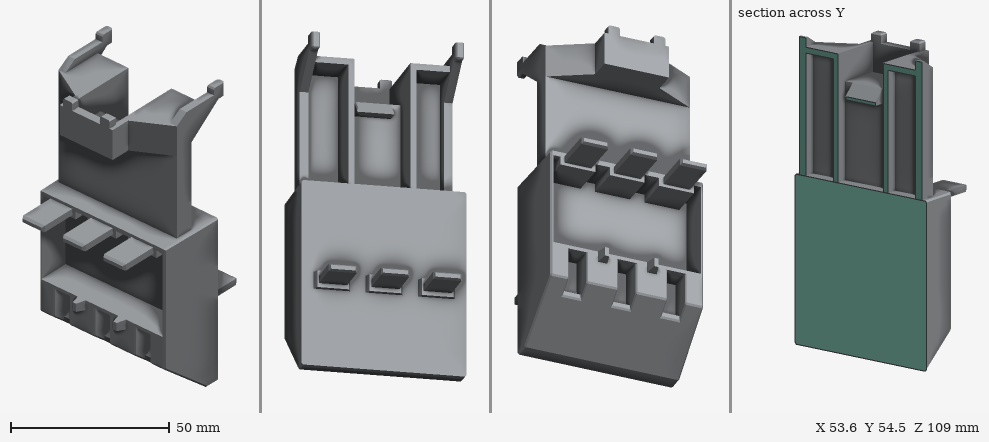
import cadquery as cq

TOTAL_HEIGHT = 109

HOUSING_HEIGHT = 61.3
HOUSING_DEPTH = 25.1
BACK_WIDTH = 53.6
FRONT_WIDTH = 52.8
BOTTOM_DEPTH = 5.2
SLOPE_HEIGHT = 16.1
SIDE_CHAMFER = 0.5
FRONT_BEVEL = 0.4
BEVEL_MARGIN = 0.1

RECESS_WIDTH = 51.0
RECESS_DEPTH = 11.7
SHELF_HEIGHT = 28.1
ROOF_THICKNESS = 1.6

POLE_PITCH = 17.0
POLES = [-POLE_PITCH, 0, POLE_PITCH]

BLADE_WIDTH = 9.2
BLADE_THICKNESS = 2.4
BLADE_TIP_LENGTH = 1.0
BLADE_TIP_INSET = 0.5
FRONT_BLADE_Z = 59.0
FRONT_BLADE_LENGTH = 14.1
BACK_BLADE_Z = 28.0
BACK_BLADE_LENGTH = TOTAL_HEIGHT / 2 - HOUSING_DEPTH - FRONT_BLADE_LENGTH

BOSS_WIDTH = 12
BOSS_DROP = 4.5

COLLAR_BASE_WIDTH = 12
COLLAR_TIP_WIDTH = 10.2
COLLAR_Z = 28.2
COLLAR_HEIGHT = 5.6
COLLAR_LENGTH = 1.9

SLOT_WIDTH = 6.1
SLOT_TOP = 26.9
SLOT_DEPTH = 8.0
SLOT_ARC_TOP = 17.2
SLOT_ARC_RADIUS = 3.2
SLOT_LIP_Y = -HOUSING_DEPTH + SLOT_DEPTH - SLOT_ARC_RADIUS

PEG_BASE_WIDTH = 3.3
PEG_TIP_WIDTH = 1.4
PEG_BASE_HEIGHT = 3.7
PEG_TIP_HEIGHT = 3.0
PEG_LENGTH = 3.5

BRACKET_WIDTH = 49.7
BRACKET_FRONT = -17.5
BRACKET_BACK = -2.1
BLOCK_TOP = 103.4
WALL_THICKNESS = 2.1

TRAY_WIDTH = 22.2
CHANNEL_WIDTH = TRAY_WIDTH - 2 * WALL_THICKNESS
TRAY_FRONT = -32.6
TRAY_SHOULDER = -25.2
TRAY_BOTTOM = 92.2
TRAY_FLOOR = 93.6
TRAY_RIM = 3.0
TAB_WIDTH = 3.9
TAB_SPACING = 15.7
TAB_TOP = 106.5
TAB_CHAMFER = 0.4

RAMP_WIDTH = 12
RAMP_LENGTH = 4.8

EAR_THICKNESS = 2.8
EAR_BACK = -10.6
EAR_TOP = 106.5
EAR_BEND_Z = 94.0
EAR_SLOPE_START = -12.9
HOOK_TIP = 5.5
HOOK_STEP = 0.2
HOOK_BOTTOM = 103.5
HOOK_HEEL = 1.7
HOOK_CHAMFER = 0.5


def box(x_size, y_limits, z_limits, x_centre=0):
    """Block centred on x_centre that spans the given Y and Z limits; Y limits in either order."""
    y_low, y_high = sorted(y_limits)
    z_low, z_high = z_limits
    block = cq.Workplane("XY").box(
        x_size,
        y_high - y_low,
        z_high - z_low,
        centered=(True, False, False),
    )
    return block.translate((x_centre, y_low, z_low))


def side_profile(points, thickness, x_centre=0):
    """Outline of (y, z) points extruded along X, centred on x_centre."""
    plane = cq.Workplane("YZ", origin=(x_centre - thickness / 2, 0, 0))
    return plane.polyline(points).close().extrude(thickness)


def frustum(x, base_y, base_size, base_z, tip_y, tip_size, tip_z):
    """Block along Y that tapers from a base rectangle to a tip rectangle.

    Each size is (width, height) and each z is the mid height of its rectangle.
    """

    def rectangle(y, size, z):
        half_width = size[0] / 2
        half_height = size[1] / 2
        corners = [
            cq.Vector(x - half_width, y, z - half_height),
            cq.Vector(x + half_width, y, z - half_height),
            cq.Vector(x + half_width, y, z + half_height),
            cq.Vector(x - half_width, y, z + half_height),
        ]
        return cq.Wire.makePolygon(corners, close=True)

    ends = [rectangle(base_y, base_size, base_z), rectangle(tip_y, tip_size, tip_z)]
    return cq.Workplane(cq.Solid.makeLoft(ends, True))


def housing_block():
    """Tapered block with a sloped lower front."""
    plan = [
        (-BACK_WIDTH / 2, 0),
        (BACK_WIDTH / 2, 0),
        (FRONT_WIDTH / 2, -HOUSING_DEPTH),
        (-FRONT_WIDTH / 2, -HOUSING_DEPTH),
    ]
    profile = [
        (0, 0),
        (0, HOUSING_HEIGHT),
        (-HOUSING_DEPTH, HOUSING_HEIGHT),
        (-HOUSING_DEPTH, SLOPE_HEIGHT),
        (-BOTTOM_DEPTH, 0),
    ]
    block = cq.Workplane("XY").polyline(plan).close().extrude(HOUSING_HEIGHT)
    return block.intersect(side_profile(profile, BACK_WIDTH))


def bevel_front(block):
    """Bevel the slot mouths and the edge between the front and the slope."""
    slope_normal = cq.Vector(0, -SLOPE_HEIGHT, BOTTOM_DEPTH - HOUSING_DEPTH)
    slope = block.faces(cq.selectors.ParallelDirSelector(slope_normal))
    front = block.faces("<Y")
    half_field = len(POLES) * POLE_PITCH / 2
    bevel_region = cq.selectors.BoxSelector(
        (-half_field, -HOUSING_DEPTH - BEVEL_MARGIN, SLOPE_HEIGHT / 2),
        (half_field, SLOT_LIP_Y + BEVEL_MARGIN, SLOT_TOP - BEVEL_MARGIN),
    )
    bevel_edges = front.edges(bevel_region).add(slope.edges(bevel_region))
    return bevel_edges.chamfer(FRONT_BEVEL)


def bevel_sides(block):
    """Bevel every edge of the two outer sides except the back ones."""
    return block.faces("<X or >X").edges("not(>Y)").chamfer(SIDE_CHAMFER)


def front_recess():
    """Opening between the shelf and the roof."""
    return box(
        RECESS_WIDTH,
        (-HOUSING_DEPTH, -HOUSING_DEPTH + RECESS_DEPTH),
        (SHELF_HEIGHT, HOUSING_HEIGHT - ROOF_THICKNESS),
    )


def blade_boss(x):
    """Block that hangs from the roof around a front blade and fills the depth of the recess."""
    return box(
        BOSS_WIDTH,
        (-HOUSING_DEPTH, -HOUSING_DEPTH + RECESS_DEPTH),
        (HOUSING_HEIGHT - BOSS_DROP, HOUSING_HEIGHT - ROOF_THICKNESS),
        x,
    )


def blade(x, z, root_y, length, direction):
    """Flat blade with a bevelled tip; direction is -1 toward the front and 1 toward the back."""
    shoulder_y = root_y + direction * (length - BLADE_TIP_LENGTH)
    tip_y = root_y + direction * length
    z_limits = (z - BLADE_THICKNESS / 2, z + BLADE_THICKNESS / 2)
    shank = box(BLADE_WIDTH, (root_y, shoulder_y), z_limits, x)
    full_size = (BLADE_WIDTH, BLADE_THICKNESS)
    tip_size = (BLADE_WIDTH - 2 * BLADE_TIP_INSET, BLADE_THICKNESS - 2 * BLADE_TIP_INSET)
    return shank.union(frustum(x, shoulder_y, full_size, z, tip_y, tip_size, z))


def collar(x):
    """Block around a back blade, narrower away from the housing."""
    base_size = (COLLAR_BASE_WIDTH, COLLAR_HEIGHT)
    tip_size = (COLLAR_TIP_WIDTH, COLLAR_HEIGHT)
    return frustum(x, 0, base_size, COLLAR_Z, COLLAR_LENGTH, tip_size, COLLAR_Z)


def slot(x):
    """Slot open to the front and the slope, with a rounded heel at its back."""
    back_y = -HOUSING_DEPTH + SLOT_DEPTH
    lip_z = SLOT_ARC_TOP - SLOT_ARC_RADIUS
    return (
        cq.Workplane("YZ", origin=(x - SLOT_WIDTH / 2, 0, 0))
        .moveTo(-HOUSING_DEPTH, SLOT_TOP)
        .lineTo(back_y, SLOT_TOP)
        .lineTo(back_y, SLOT_ARC_TOP)
        .radiusArc((SLOT_LIP_Y, lip_z), SLOT_ARC_RADIUS)
        .lineTo(SLOT_LIP_Y, 0)
        .lineTo(-HOUSING_DEPTH, 0)
        .close()
        .extrude(SLOT_WIDTH)
    )


def peg(x):
    """Peg that narrows toward its tip, flush with the shelf."""
    return frustum(
        x,
        -HOUSING_DEPTH,
        (PEG_BASE_WIDTH, PEG_BASE_HEIGHT),
        SHELF_HEIGHT - PEG_BASE_HEIGHT / 2,
        -HOUSING_DEPTH - PEG_LENGTH,
        (PEG_TIP_WIDTH, PEG_TIP_HEIGHT),
        SHELF_HEIGHT - PEG_TIP_HEIGHT / 2,
    )


def make_housing():
    body = housing_block()
    for x in POLES:
        body = body.cut(slot(x))
    body = bevel_sides(bevel_front(body)).cut(front_recess())
    for x in POLES:
        body = body.union(blade_boss(x)).union(collar(x))
        body = body.union(blade(x, FRONT_BLADE_Z, -HOUSING_DEPTH, FRONT_BLADE_LENGTH, -1))
        body = body.union(blade(x, BACK_BLADE_Z, 0, BACK_BLADE_LENGTH, 1))
    for x in (-POLE_PITCH / 2, POLE_PITCH / 2):
        body = body.union(peg(x))
    return body


def bracket_column():
    """Column between the ears, opened at the back by a full-height channel and two side cavities."""
    wall_back = BRACKET_FRONT + WALL_THICKNESS
    width = BRACKET_WIDTH - 2 * EAR_THICKNESS
    cavity_width = (width - TRAY_WIDTH) / 2
    column = box(width, (BRACKET_FRONT, BRACKET_BACK), (HOUSING_HEIGHT, BLOCK_TOP))
    column = column.cut(box(CHANNEL_WIDTH, (wall_back, BRACKET_BACK), (HOUSING_HEIGHT, BLOCK_TOP)))
    for side in (-1, 1):
        cavity_x = side * (TRAY_WIDTH + cavity_width) / 2
        cavity_z = (HOUSING_HEIGHT, BLOCK_TOP - WALL_THICKNESS)
        column = column.cut(box(cavity_width, (wall_back, BRACKET_BACK), cavity_z, cavity_x))
    return column


def tray():
    """Solid head with angled flanks and straight sides toward the front."""
    half_width = BRACKET_WIDTH / 2
    half_tray = TRAY_WIDTH / 2
    plan = [
        (-half_width, BRACKET_FRONT),
        (-half_tray, TRAY_SHOULDER),
        (-half_tray, TRAY_FRONT),
        (half_tray, TRAY_FRONT),
        (half_tray, TRAY_SHOULDER),
        (half_width, BRACKET_FRONT),
    ]
    head = cq.Workplane("XY", origin=(0, 0, TRAY_BOTTOM)).polyline(plan).close()
    return head.extrude(BLOCK_TOP - TRAY_BOTTOM)


def tray_pocket():
    """Shallow pocket in the tray that opens into the channel behind it."""
    wall_back = BRACKET_FRONT + WALL_THICKNESS
    return box(CHANNEL_WIDTH, (TRAY_FRONT + TRAY_RIM, wall_back), (TRAY_FLOOR, BLOCK_TOP))


def tab(x):
    """Tab on the front rim of the tray, bevelled on top except along its front."""
    blank = box(TAB_WIDTH, (TRAY_FRONT, TRAY_FRONT + TRAY_RIM), (BLOCK_TOP, TAB_TOP), x)
    return blank.faces(">Z").edges("not(<Y)").chamfer(TAB_CHAMFER)


def ramp():
    """Gusset behind the tray that falls away toward the back."""
    top_y = BRACKET_FRONT + WALL_THICKNESS
    points = [
        (top_y, TRAY_FLOOR),
        (top_y + RAMP_LENGTH, TRAY_FLOOR - RAMP_LENGTH),
        (top_y, TRAY_FLOOR - RAMP_LENGTH),
    ]
    return side_profile(points, RAMP_WIDTH)


def ear(side):
    """Side plate that ends in a hook at the top back; side is -1 or 1."""
    points = [
        (BRACKET_FRONT, HOUSING_HEIGHT),
        (BRACKET_FRONT, BLOCK_TOP),
        (EAR_SLOPE_START, EAR_TOP),
        (HOOK_STEP, EAR_TOP),
        (HOOK_STEP, TOTAL_HEIGHT),
        (HOOK_TIP, TOTAL_HEIGHT),
        (HOOK_TIP, HOOK_BOTTOM),
        (HOOK_HEEL, HOOK_BOTTOM),
        (EAR_BACK, EAR_BEND_Z),
        (EAR_BACK, HOUSING_HEIGHT),
    ]
    x = side * (BRACKET_WIDTH - EAR_THICKNESS) / 2
    plate = side_profile(points, EAR_THICKNESS, x)
    step_edge = plate.faces(">Z").edges("<Y")
    back_edges = plate.faces(">Y").edges("not(>Z)")
    bottom_centre = (x, (HOOK_TIP + HOOK_HEEL) / 2, HOOK_BOTTOM)
    hook_bottom = plate.faces(cq.selectors.NearestToPointSelector(bottom_centre))
    return back_edges.add(hook_bottom.edges("|Y")).add(step_edge).chamfer(HOOK_CHAMFER)


def make_bracket():
    body = bracket_column().union(tray()).cut(tray_pocket()).union(ramp())
    for side in (-1, 1):
        body = body.union(ear(side)).union(tab(side * TAB_SPACING / 2))
    return body


housing = make_housing()
bracket = make_bracket()
result = cq.Compound.makeCompound([housing.val(), bracket.val()])